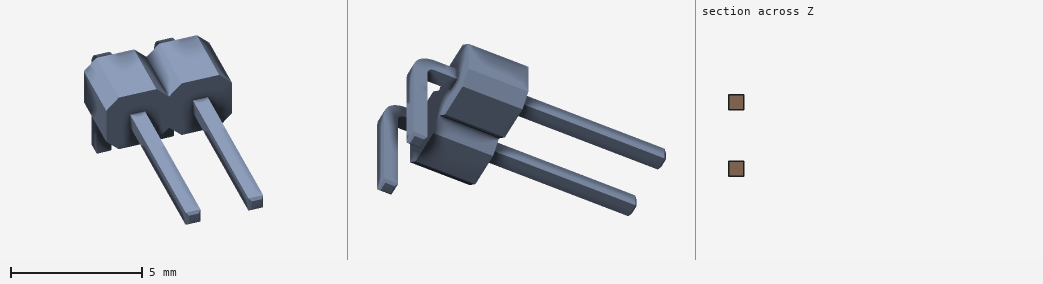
import cadquery as cq

pin_count = 2
pitch = 2.54
body_length = pitch
body_height = pitch
body_chamfer = pitch / 5

pin_width = 0.6
tip_chamfer = 0.1
bend_inner_radius = 0.3
bend_outer_radius = bend_inner_radius + pin_width

overall_length = 10.76
overall_height = 5.9
bend_to_body = 1.86

leg_outer_x = -pin_width / 2
body_start_x = leg_outer_x + bend_to_body
pin_axis_z = body_height / 2
pin_top_z = pin_axis_z + pin_width / 2
leg_bottom_z = body_height - overall_height


def body_segment(y):
    """Octagonal plastic segment surrounding the pin at y."""
    return (
        cq.Workplane("XY")
        .box(body_length, pitch, body_height, centered=(False, True, False))
        .edges("|X")
        .chamfer(body_chamfer)
        .translate((body_start_x, y, 0))
    )


def pin(y):
    """Square pin with a downward leg, a rounded bend and two tapered tips."""
    horizontal = (
        cq.Workplane("XY")
        .box(overall_length, pin_width, pin_width, centered=(False, True, False))
        .translate((leg_outer_x, y, pin_top_z - pin_width))
    )
    leg = (
        cq.Workplane("XY")
        .box(pin_width, pin_width, pin_top_z - leg_bottom_z, centered=(True, True, False))
        .translate((0, y, leg_bottom_z))
    )
    bent = horizontal.union(leg)

    outer_corner = (leg_outer_x, y, pin_top_z)
    inner_corner = (leg_outer_x + pin_width, y, pin_top_z - pin_width)
    bent = bent.edges(cq.selectors.NearestToPointSelector(outer_corner)).fillet(bend_outer_radius)
    bent = bent.edges(cq.selectors.NearestToPointSelector(inner_corner)).fillet(bend_inner_radius)
    return bent.faces(">X or <Z").chamfer(tip_chamfer)


result = body_segment(0).union(pin(0))
for index in range(1, pin_count):
    y = index * pitch
    result = result.union(body_segment(y)).union(pin(y))